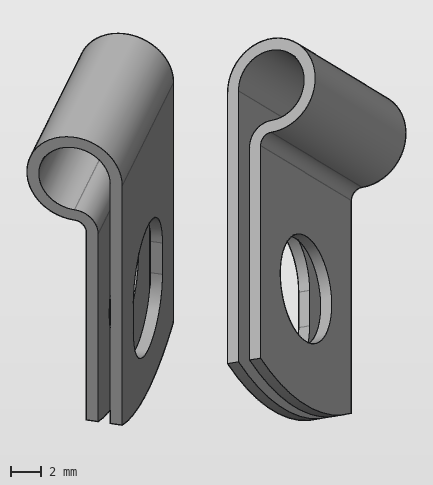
import cadquery as cq
import math

height = 22.95
width = 12.7
loop_radius = 3.2
thickness = 0.8

leg_gap = 0.8
end_rise = 1.33
hole_diameter = 7.15
hole_height = 7.92
slot_travel = 2.4

loop_inner_radius = loop_radius - thickness
loop_z = height - loop_radius
bend_outer_radius = loop_inner_radius - leg_gap
bend_inner_radius = bend_outer_radius - thickness
bend_z = loop_z - loop_inner_radius - bend_outer_radius


def strip_body():
    """Bent strip: straight leg, loop, reverse bend and second leg."""
    diagonal = math.cos(math.radians(45))
    return (
        cq.Workplane("XZ")
        .moveTo(loop_radius, 0)
        .lineTo(loop_radius, loop_z)
        .threePointArc(
            (-loop_radius * diagonal, loop_z + loop_radius * diagonal),
            (0, loop_z - loop_radius),
        )
        .threePointArc(
            (bend_inner_radius * diagonal, bend_z + bend_inner_radius * diagonal),
            (bend_inner_radius, bend_z),
        )
        .lineTo(bend_inner_radius, 0)
        .lineTo(bend_outer_radius, 0)
        .lineTo(bend_outer_radius, bend_z)
        .threePointArc(
            (bend_outer_radius * diagonal, bend_z + bend_outer_radius * diagonal),
            (0, bend_z + bend_outer_radius),
        )
        .threePointArc(
            (-loop_inner_radius * diagonal, loop_z + loop_inner_radius * diagonal),
            (loop_inner_radius, loop_z),
        )
        .lineTo(loop_inner_radius, 0)
        .close()
        .extrude(width / 2, both=True)
    )


def side_outline():
    """Rectangle with a bowed lower end, spanning both legs and the loop."""
    return (
        cq.Workplane("YZ")
        .moveTo(-width / 2, height)
        .lineTo(-width / 2, end_rise)
        .threePointArc((0, 0), (width / 2, end_rise))
        .lineTo(width / 2, height)
        .close()
        .extrude(loop_radius, both=True)
    )


def round_hole():
    """Round hole through the leg below the reverse bend."""
    return (
        cq.Workplane("YZ")
        .center(0, hole_height)
        .circle(hole_diameter / 2)
        .extrude(bend_outer_radius)
    )


def slotted_hole():
    """Upright slot through the straight leg, as wide as the round hole."""
    return (
        cq.Workplane("YZ", origin=(loop_inner_radius, 0, 0))
        .center(0, hole_height)
        .slot2D(hole_diameter + slot_travel, hole_diameter, 90)
        .extrude(thickness)
    )


result = (
    strip_body()
    .intersect(side_outline())
    .cut(round_hole())
    .cut(slotted_hole())
)